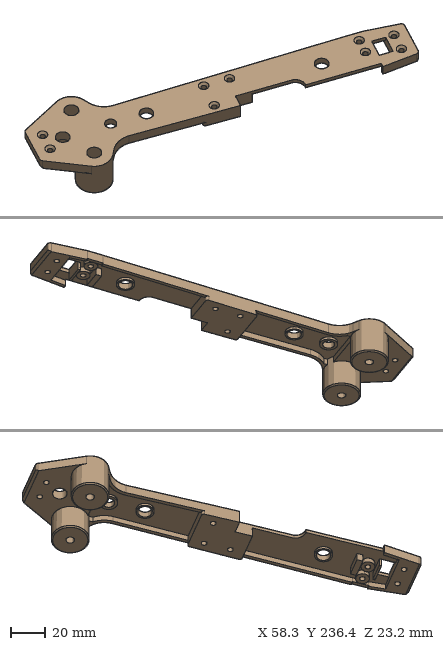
import cadquery as cq
import math

length = 236.4
plate_thickness = 6.4
tail_half_width = 12.7
tail_corner_radius = 2.0
neck_half_width = 13.0
neck_y = 55.2
shoulder_half_width = 15.3
shoulder_start_y = 202.5
shoulder_end_y = 212.6
nose_half_width = 12.7
nose_corner_radius = 2.0
neck_fillet_radius = 14.0
flank_angle = math.radians(30)

end_bevel = 1.5

skin_thickness = 2.5
rim_width = 2.0
pocket_start_y = 40.0
hole_boss_diameter = 10.5
hole_boss_bottom = 4.2
screw_boss_diameter = 8.0
screw_boss_bottom = 5.7

overall_height = 23.2
post_radius = 11.0
overall_width = 58.34
post_x = overall_width / 2 - post_radius
post_y = 31.4
post_chamfer = 0.8
post_bore_diameter = 8.6
post_bore_depth = 15.0
post_hole_diameter = 4.9

notch_shallow_x = 12.5
notch_deep_x = 6.0
notch_start_y = 124.3
notch_arc_y = 160.2
notch_step_y = 165.5
notch_arc_radius = 6.5

pad_start_y = 101.5
pad_end_y = 134.9
pad_bottom = 9.3
pad_corner_radius = 1.5

channel_depth = 0.7
rib_bottom = 7.8
rib_half_length = 6.0
rear_rib_width = 3.6
front_rib_width = 1.4

window_width = 12.0
window_start_y = 214.0
window_length = 8.6

plain_holes = [
    (0, 18.9, 8.4),
    (0, 48.8, 7.0),
    (0, 71.1, 8.4),
    (0, 180.4, 8.4),
]

screw_diameter = 3.2
screw_head_diameter = 6.0
screw_holes = [
    (-6, 8.7),
    (6, 8.7),
    (-8.4, 110.1),
    (8.4, 110.1),
    (-8.4, 126.2),
    (-9.3, 207.4),
    (0.7, 207.4),
    (-6, 227.8),
    (6, 227.8),
]


def box(x_min, x_max, y_min, y_max, z_min, z_max):
    size = (x_max - x_min, y_max - y_min, z_max - z_min)
    return cq.Workplane("XY").box(*size, centered=False).translate((x_min, y_min, z_min))


def make_outline(depth):
    """Slab with the full outline of the plate, from Z = 0 down to the given depth."""
    post_edge_x = post_x + post_radius * math.sin(flank_angle)
    post_edge_y = post_y + post_radius * math.cos(flank_angle)
    neck_corner_y = post_edge_y + (post_edge_x - neck_half_width) * math.tan(flank_angle)
    right_points = [
        (tail_half_width, 0),
        (post_x + post_radius * math.cos(flank_angle), post_y - post_radius * math.sin(flank_angle)),
        (post_edge_x, post_edge_y),
        (neck_half_width, neck_corner_y),
        (neck_half_width, neck_y),
        (shoulder_half_width, shoulder_start_y),
        (shoulder_half_width, shoulder_end_y),
        (nose_half_width, length),
    ]
    tail, lower_tangent, upper_tangent, neck, *upper = right_points
    post_side = (post_x + post_radius, post_y)

    def mirrored(point):
        return (-point[0], point[1])

    outline = (
        cq.Workplane("XY")
        .moveTo(*tail)
        .lineTo(*lower_tangent)
        .threePointArc(post_side, upper_tangent)
        .lineTo(*neck)
    )
    for point in upper:
        outline = outline.lineTo(*point)
    for point in reversed(upper):
        outline = outline.lineTo(*mirrored(point))
    outline = (
        outline.lineTo(*mirrored(neck))
        .lineTo(*mirrored(upper_tangent))
        .threePointArc(mirrored(post_side), mirrored(lower_tangent))
        .lineTo(*mirrored(tail))
        .close()
    )
    slab = outline.extrude(-depth)
    corner_margin = 0.1
    for corner, radius in (
        (tail, tail_corner_radius),
        (neck, neck_fillet_radius),
        ((nose_half_width, length), nose_corner_radius),
    ):
        for x in (corner[0], -corner[0]):
            near = cq.selectors.BoxSelector(
                (x - corner_margin, corner[1] - corner_margin, -depth),
                (x + corner_margin, corner[1] + corner_margin, 0),
            )
            slab = slab.edges(near).fillet(radius)
    return slab


def make_end_bevel(edge_y, inward):
    """Wedge that bevels the lower edge of an end face; inward is the Y sign towards the plate."""
    return (
        cq.Workplane("YZ")
        .moveTo(edge_y, -plate_thickness)
        .lineTo(edge_y + inward * end_bevel, -plate_thickness)
        .lineTo(edge_y, -plate_thickness + end_bevel)
        .close()
        .extrude(shoulder_half_width, both=True)
    )


def make_pad():
    band = box(-shoulder_half_width, shoulder_half_width, pad_start_y, pad_end_y, -pad_bottom, 0)
    pad = make_outline(pad_bottom).intersect(band)
    return pad.edges("|Z").fillet(pad_corner_radius)


def make_pocket():
    """Void below the skin, from the tail block to the nose block, inside the rim."""
    inner = make_outline(plate_thickness).faces(">Z").wires().toPending().offset2D(-rim_width)
    inner = cq.Workplane("XY").add(inner.vals()).toPending().extrude(-plate_thickness)
    band = box(
        -shoulder_half_width, shoulder_half_width,
        pocket_start_y, window_start_y + window_length, -plate_thickness, -skin_thickness,
    )
    return inner.intersect(band)


def make_post(x):
    return (
        cq.Workplane("XY")
        .center(x, post_y)
        .circle(post_radius)
        .extrude(-overall_height)
        .faces("<Z")
        .chamfer(post_chamfer)
    )


def make_notch():
    """Edge cut, narrow below the nose and deep beside the middle of the arm, joined by an arc."""
    outside_x = overall_width / 2
    return (
        cq.Workplane("XY")
        .moveTo(outside_x, notch_start_y)
        .lineTo(notch_deep_x, notch_start_y)
        .lineTo(notch_deep_x, notch_arc_y)
        .radiusArc((notch_shallow_x, notch_step_y), notch_arc_radius)
        .lineTo(notch_shallow_x, shoulder_end_y)
        .lineTo(outside_x, shoulder_end_y)
        .close()
        .extrude(-overall_height)
    )


def make_ribs():
    rear = box(
        -rib_half_length, rib_half_length,
        shoulder_start_y - rear_rib_width, shoulder_start_y, -rib_bottom, 0,
    )
    front = box(
        -rib_half_length, rib_half_length,
        shoulder_end_y, shoulder_end_y + front_rib_width, -rib_bottom, 0,
    )
    return rear.union(front)


def make_cylinder(x, y, diameter, depth=overall_height):
    return cq.Workplane("XY").center(x, y).circle(diameter / 2).extrude(-depth)


def make_screw_hole(x, y):
    head_radius = screw_head_diameter / 2
    radius = screw_diameter / 2
    cone = cq.Solid.makeCone(
        head_radius, radius, head_radius - radius, pnt=cq.Vector(x, y, 0), dir=cq.Vector(0, 0, -1)
    )
    return make_cylinder(x, y, screw_diameter).union(cq.Workplane(cone))


body = make_outline(plate_thickness)
body = body.cut(make_pocket())
body = body.cut(make_end_bevel(0, 1)).cut(make_end_bevel(length, -1))
channel_top = channel_depth - plate_thickness
body = body.cut(
    box(
        -shoulder_half_width, shoulder_half_width,
        shoulder_start_y, shoulder_end_y, -plate_thickness, channel_top,
    )
)
body = body.union(make_pad()).union(make_ribs())
for side in (-1, 1):
    body = body.union(make_post(side * post_x))
for x, y, _ in plain_holes:
    body = body.union(make_cylinder(x, y, hole_boss_diameter, hole_boss_bottom))
for x, y in screw_holes:
    body = body.union(make_cylinder(x, y, screw_boss_diameter, screw_boss_bottom))

body = body.cut(make_notch())
body = body.cut(
    box(
        -window_width / 2, window_width / 2,
        window_start_y, window_start_y + window_length, -overall_height, 0,
    )
)
for x, y, diameter in plain_holes:
    body = body.cut(make_cylinder(x, y, diameter))
for x, y in screw_holes:
    body = body.cut(make_screw_hole(x, y))
for side in (-1, 1):
    body = body.cut(make_cylinder(side * post_x, post_y, post_bore_diameter, post_bore_depth))
    body = body.cut(make_cylinder(side * post_x, post_y, post_hole_diameter))

result = body